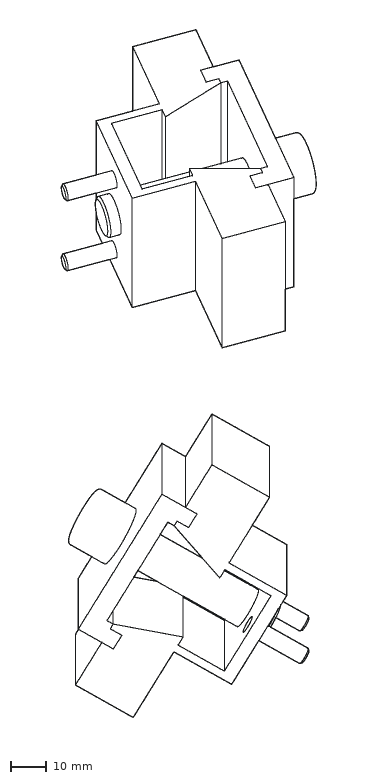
import cadquery as cq

height = 47.6

housing_width = 76.2
channel_width = 30.8
wall = 2.4
floor = 3.8
jaw_bottom = 19.05
jaw_top = 38.1
mouth_width = 34.0
throat_width = 20.4

cover_width = 46.7
cover_plate = 5.7
cover_top = 45.9
leg_tip_width = 4.7
leg_tip_depth = 3.8

shaft_diameter = 12.1
shaft_projection = 3.8
shaft_chamfer = 0.7
head_diameter = 18.05
head_height = 12.05
head_fillet = 0.85
pin_diameter = 5.0
pin_projection = 15.25
pin_chamfer = 0.5
pin_spacing = 30.5


def block(width, y_min, y_max, center_x=0):
    """Full-height box between two Y levels."""
    return cq.Workplane("XY").box(width, y_max - y_min, height).translate((center_x, (y_min + y_max) / 2, 0))


def rod(diameter, y_min, y_max, z=0):
    """Cylinder along Y between two Y levels."""
    plane = cq.Plane(origin=(0, y_min, z), xDir=(1, 0, 0), normal=(0, 1, 0))
    return cq.Workplane(plane).circle(diameter / 2).extrude(y_max - y_min)


def make_leg_tips():
    """The two narrow leg ends below the jaw tops."""
    offset = (cover_width - leg_tip_width) / 2
    left = block(leg_tip_width, jaw_top - leg_tip_depth, jaw_top, -offset)
    right = block(leg_tip_width, jaw_top - leg_tip_depth, jaw_top, offset)
    return left.union(right)


def make_housing():
    channel = block(channel_width, 0, jaw_bottom)
    jaws = block(housing_width, jaw_bottom, jaw_top)
    cavity = block(channel_width - 2 * wall, floor, jaw_bottom)
    dovetail = (
        cq.Workplane("XY")
        .polyline([
            (-throat_width / 2, jaw_bottom),
            (throat_width / 2, jaw_bottom),
            (mouth_width / 2, jaw_top),
            (-mouth_width / 2, jaw_top),
        ])
        .close()
        .extrude(height / 2, both=True)
    )
    housing = channel.union(jaws).cut(cavity).cut(dovetail).cut(make_leg_tips())
    housing = housing.cut(rod(shaft_diameter, 0, floor))
    for z in pin_positions:
        housing = housing.cut(rod(pin_diameter, 0, floor, z))
    return housing


def make_cover():
    plate_and_legs = block(cover_width, jaw_top, cover_top)
    opening = block(mouth_width, jaw_top, cover_top - cover_plate)
    cover = plate_and_legs.cut(opening).union(make_leg_tips())
    return cover.cut(rod(shaft_diameter, cover_top - cover_plate, cover_top))


def make_bolt():
    shaft = rod(shaft_diameter, -shaft_projection, cover_top).faces("<Y").chamfer(shaft_chamfer)
    head = rod(head_diameter, cover_top, cover_top + head_height).faces(">Y").fillet(head_fillet)
    return shaft.union(head)


def make_pin(z):
    return rod(pin_diameter, -pin_projection, floor, z).faces("<Y").chamfer(pin_chamfer)


pin_positions = [-pin_spacing / 2, pin_spacing / 2]

housing = make_housing()
cover = make_cover()
bolt = make_bolt()
pins = [make_pin(z) for z in pin_positions]

result = cq.Compound.makeCompound([
    housing.solids().val(),
    cover.solids().val(),
    bolt.solids().val(),
    *[pin.solids().val() for pin in pins],
])